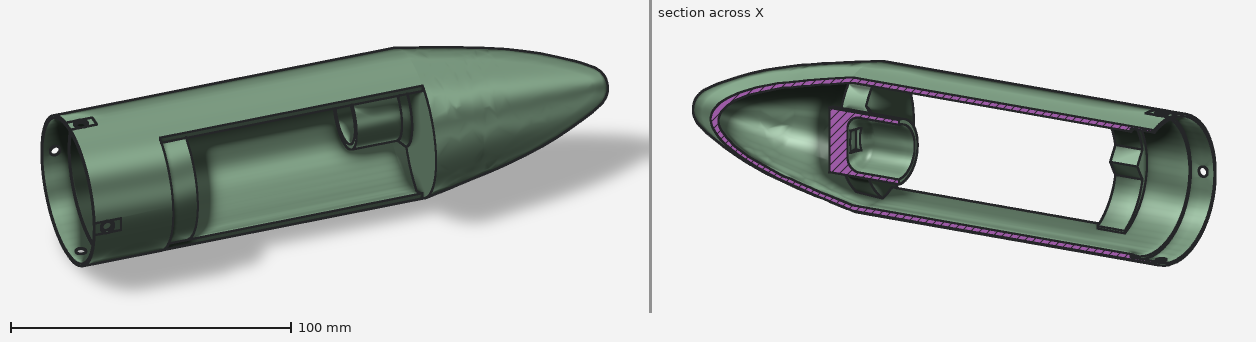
import cadquery as cq
import math

TUBE_RADIUS = 27.5
BORE_RADIUS = 51.0 / 2
SOCKET_RADIUS = 53.0 / 2
SOCKET_DEPTH = 10.0
TOTAL_LENGTH = 205.0
NOSE_LENGTH = 75.0
NOSE_BASE = TOTAL_LENGTH - NOSE_LENGTH
NOSE_WALL = TUBE_RADIUS - BORE_RADIUS

NOSE_PROFILE = [(24.4, 23.0), (42.6, 18.7), (56.4, 14.0), (66.6, 9.5)]
NOSE_BASE_SLOPE = (-0.18, 1)

OPENING_X = 13.5
OPENING_START = 30.0

LIP_LENGTH = 11.7
LIP_END = OPENING_START + 10.0
LIP_START_X = 11.3
LIP_INNER_CENTER_X = -3.0
LIP_INNER_RADIUS = 26.2
RIDGE_TIP_X = 19.3
RIDGE_HALF_WIDTH = 5.5

BULKHEAD_CENTER_X = 23.5
BULKHEAD_RADIUS = 29.3
BULKHEAD_THICKNESS = 10.0
CUP_X = -11.9
CUP_RADIUS = 24.0 / 2
CUP_BORE_RADIUS = 20.0 / 2
CUP_HEIGHT = 20.0
CUP_FLANGE = 2.9
FLANGE_STEP = 0.1
CUP_FLOOR_RADIUS = 5.1
CUP_FLOOR = 2.0
NOTCH_START_X = -10.2
NOTCH_CURVE_RADIUS = 20.5
NOTCH_END_X = -4.7
NOTCH_WIDTH = 8.2
NOTCH_DEPTH = 1.2

SCREW_Y = 5.0
SCREW_RADIUS = 1.8
COUNTERSINK_RADIUS = 2.9
COUNTERSINK_DEPTH = 0.6
SLOT_WIDTH = 5.0
SLOT_LENGTH = SOCKET_DEPTH
SLOT_DEPTH = 0.2


def cylinder(radius, start, end, x=0.0):
    """Cylinder parallel to Y."""
    return cq.Workplane("XZ", origin=(x, start, 0)).circle(radius).extrude(start - end)


def box(x_range, y_range, z_range):
    sizes = [end - start for start, end in (x_range, y_range, z_range)]
    corner = (x_range[0], y_range[0], z_range[0])
    return cq.Workplane("XY").box(*sizes, centered=False).translate(corner)


def nose(inset):
    """Pointed dome whose base radius and tip are drawn in by the inset."""
    radius_ratio = 1 - inset / TUBE_RADIUS
    length_ratio = 1 - inset / NOSE_LENGTH
    points = [
        (radius * radius_ratio, NOSE_BASE + ahead * length_ratio)
        for ahead, radius in NOSE_PROFILE
    ]
    tip = (0, NOSE_BASE + NOSE_LENGTH * length_ratio)
    return (
        cq.Workplane("XY")
        .moveTo(0, NOSE_BASE)
        .lineTo(TUBE_RADIUS * radius_ratio, NOSE_BASE)
        .spline(points + [tip], tangents=[NOSE_BASE_SLOPE, (-1, 0)], includeCurrent=True)
        .close()
        .revolve(360, (0, 0, 0), (0, 1, 0))
    )


def tube():
    body = cylinder(TUBE_RADIUS, 0, NOSE_BASE)
    body = body.cut(cylinder(BORE_RADIUS, 0, NOSE_BASE))
    body = body.cut(cylinder(SOCKET_RADIUS, 0, SOCKET_DEPTH))
    reach = 2 * TUBE_RADIUS
    opening = box((OPENING_X, reach), (OPENING_START, NOSE_BASE), (-reach, reach))
    return body.cut(opening)


def lip():
    start = LIP_END - LIP_LENGTH
    seat = cylinder((BORE_RADIUS + TUBE_RADIUS) / 2, start, OPENING_START)
    blank = cylinder(BORE_RADIUS, start, LIP_END).union(seat)
    reach = 2 * TUBE_RADIUS
    blank = blank.intersect(box((LIP_START_X, reach), (start, LIP_END), (-reach, reach)))
    ridge_base_x = LIP_INNER_CENTER_X + math.sqrt(LIP_INNER_RADIUS**2 - RIDGE_HALF_WIDTH**2)
    ridge = (
        cq.Workplane("XZ", origin=(0, start, 0))
        .moveTo(RIDGE_TIP_X, 0)
        .lineTo(ridge_base_x, RIDGE_HALF_WIDTH)
        .lineTo(TUBE_RADIUS, RIDGE_HALF_WIDTH)
        .lineTo(TUBE_RADIUS, -RIDGE_HALF_WIDTH)
        .lineTo(ridge_base_x, -RIDGE_HALF_WIDTH)
        .close()
        .extrude(-LIP_LENGTH)
    )
    hollow = cylinder(LIP_INNER_RADIUS, start, LIP_END, LIP_INNER_CENTER_X).cut(ridge)
    return blank.cut(hollow)


def bulkhead():
    disc = cylinder(
        BULKHEAD_RADIUS, NOSE_BASE, NOSE_BASE + BULKHEAD_THICKNESS, BULKHEAD_CENTER_X
    )
    return disc.intersect(nose(NOSE_WALL / 2))


def cup():
    rim = NOSE_BASE - CUP_HEIGHT
    back = NOSE_BASE + BULKHEAD_THICKNESS
    body = cylinder(CUP_RADIUS, rim, back, CUP_X)
    flange = (
        cylinder(CUP_RADIUS + CUP_FLANGE, NOSE_BASE - CUP_FLANGE, NOSE_BASE, CUP_X)
        .faces("<Y")
        .chamfer(CUP_FLANGE - FLANGE_STEP)
        .intersect(cylinder(BULKHEAD_RADIUS, rim, back, BULKHEAD_CENTER_X))
    )
    return body.union(flange)


def cup_bore():
    rim = NOSE_BASE - CUP_HEIGHT
    floor = NOSE_BASE + CUP_FLOOR
    bore = (
        cylinder(CUP_BORE_RADIUS, rim, floor, CUP_X)
        .faces(">Y")
        .edges()
        .fillet(CUP_BORE_RADIUS - CUP_FLOOR_RADIUS)
    )
    half = NOTCH_WIDTH / 2
    bottom = floor + NOTCH_DEPTH
    notch = box((NOTCH_START_X, NOTCH_END_X), (rim, bottom), (-half, half))
    curve_center_x = NOTCH_START_X + NOTCH_CURVE_RADIUS
    notch = notch.intersect(cylinder(NOTCH_CURVE_RADIUS, rim, bottom, curve_center_x))
    return bore.union(notch)


def screw_cut():
    """Cutter for the hole and slot on the +Z side."""
    hole = cq.Workplane("XY").circle(SCREW_RADIUS).extrude(TUBE_RADIUS)
    cone = (
        cq.Workplane("XY", origin=(0, 0, TUBE_RADIUS - COUNTERSINK_DEPTH))
        .circle(SCREW_RADIUS)
        .workplane(offset=COUNTERSINK_DEPTH)
        .circle(COUNTERSINK_RADIUS)
        .loft()
    )
    half = SLOT_WIDTH / 2
    slot = box((-half, half), (0, SLOT_LENGTH), (TUBE_RADIUS - SLOT_DEPTH, TUBE_RADIUS))
    return hole.union(cone).translate((0, SCREW_Y, 0)).union(slot)


result = tube().union(nose(0).cut(nose(NOSE_WALL)))
result = result.union(bulkhead()).union(cup()).union(lip()).cut(cup_bore())
for quarter in range(4):
    result = result.cut(screw_cut().rotate((0, 0, 0), (0, 1, 0), 90 * quarter))